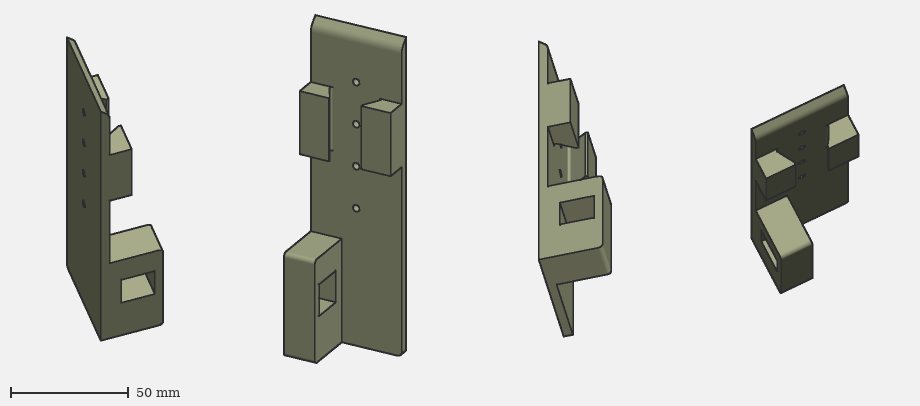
import cadquery as cq
import math

PLATE_WIDTH = 44.0
PLATE_HEIGHT = 150.0
PLATE_THICKNESS = 4.0
CORNER_RADIUS = 2.0
BEVEL_BLEND_RADIUS = 5.0

HOLE_DIAMETER = 3.2
HOLE_COUNT = 4
HOLE_SPACING = 20.0
TOP_HOLE_Z = 125.1

JAW_DEPTH = 9.9
JAW_BOTTOM_Z = 90.0
JAW_HEIGHT = 30.0
JAW_TIP_WIDTH = 14.1
JAW_TIP_LAND = 1.0
JAW_ANGLE = 60.0
JAW_ROOT_DIAMETER = 2.0

LUG_WIDTH = 15.0
LUG_HEIGHT = 49.2
LUG_BACK_Y = 28.0
WINDOW_SIZE = 15.0
WINDOW_BOTTOM_Z = 21.3
WINDOW_BACK_MARGIN = 3.8


def box(x, y, z, width, depth, height):
    """Box given by its minimum corner and its sizes along X, Y and Z."""
    return cq.Workplane("XY").box(width, depth, height, centered=False).translate((x, y, z))


def make_plate():
    """Plate with a blended 45 degree bevel at the top back edge and one rounded bottom corner."""
    plate = (
        cq.Workplane("YZ")
        .lineTo(PLATE_THICKNESS, 0)
        .lineTo(PLATE_THICKNESS, PLATE_HEIGHT - PLATE_THICKNESS)
        .lineTo(0, PLATE_HEIGHT)
        .close()
        .extrude(PLATE_WIDTH)
    )
    bevel_start = (PLATE_WIDTH / 2, PLATE_THICKNESS, PLATE_HEIGHT - PLATE_THICKNESS)
    plate = plate.edges(cq.selectors.NearestToPointSelector(bevel_start)).fillet(BEVEL_BLEND_RADIUS)
    return plate.edges("|Y and <X and <Z").fillet(CORNER_RADIUS)


def make_left_jaw():
    """Undercut jaw with a rounded root where its sloped flank meets the plate."""
    jaw_back_y = PLATE_THICKNESS + JAW_DEPTH
    slope_depth = JAW_DEPTH - JAW_TIP_LAND
    angle = math.radians(JAW_ANGLE)
    corner_x = JAW_TIP_WIDTH - slope_depth / math.tan(angle)

    radius = JAW_ROOT_DIAMETER / 2
    tangent_length = radius / math.tan(angle / 2)
    center_x = corner_x + tangent_length
    center_y = PLATE_THICKNESS + radius
    flank_end = (
        corner_x + tangent_length * math.cos(angle),
        PLATE_THICKNESS + tangent_length * math.sin(angle),
    )
    return (
        cq.Workplane("XY", origin=(0, 0, JAW_BOTTOM_Z))
        .moveTo(0, PLATE_THICKNESS)
        .lineTo(0, jaw_back_y)
        .lineTo(JAW_TIP_WIDTH, jaw_back_y)
        .lineTo(JAW_TIP_WIDTH, jaw_back_y - JAW_TIP_LAND)
        .lineTo(*flank_end)
        .threePointArc(
            (center_x - radius * math.cos(angle / 2), center_y - radius * math.sin(angle / 2)),
            (center_x, PLATE_THICKNESS),
        )
        .close()
        .extrude(JAW_HEIGHT)
    )


def make_lug():
    """Lug flush with the right side, rounded at its back edges, with a window through X."""
    lug_x = PLATE_WIDTH - LUG_WIDTH
    lug = box(lug_x, 0, 0, LUG_WIDTH, LUG_BACK_Y, LUG_HEIGHT)
    lug = lug.edges("|X and >Y").fillet(CORNER_RADIUS)
    window_y = LUG_BACK_Y - WINDOW_BACK_MARGIN - WINDOW_SIZE
    return lug.cut(box(lug_x, window_y, WINDOW_BOTTOM_Z, LUG_WIDTH, WINDOW_SIZE, WINDOW_SIZE))


def make_holes():
    """Row of pins along Y that cut the plate holes."""
    centers = [(PLATE_WIDTH / 2, TOP_HOLE_Z - i * HOLE_SPACING) for i in range(HOLE_COUNT)]
    return cq.Workplane("XZ").pushPoints(centers).circle(HOLE_DIAMETER / 2).extrude(-PLATE_THICKNESS)


left_jaw = make_left_jaw()
right_jaw = left_jaw.mirror("YZ", (PLATE_WIDTH / 2, 0, 0))
result = make_plate().union(left_jaw).union(right_jaw).union(make_lug()).cut(make_holes())